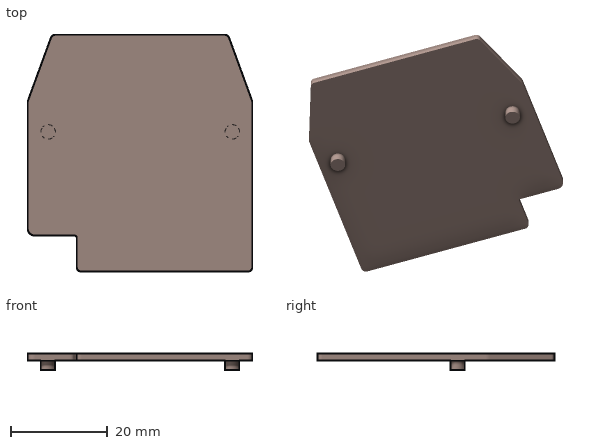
import cadquery as cq

width = 46.5
length = 49
plate_thickness = 1.5

shoulder_inset = 5.05
shoulder_length = 13.8

notch_width = 10.15
notch_length = 7.45

corner_radius = 1.0
notch_inner_radius = 0.4
side_corner_radius = 1.5
shoulder_radius = 2.0

peg_diameter = 3.0
peg_height = 1.95
peg_edge_distance = 4.2
peg_y = 4.45

right = width / 2
left = -right
back = length / 2
front = -back
shoulder_y = back - shoulder_length
notch_x = left + notch_width
notch_y = front + notch_length


def round_corners(body, corners, radius):
    """Round the vertical plate edges standing at the given XY corners."""
    for x, y in corners:
        edge = body.edges("|Z").edges(cq.NearestToPointSelector((x, y, plate_thickness / 2)))
        body = edge.fillet(radius)
    return body


def make_plate():
    outline = [
        (notch_x, front),
        (right, front),
        (right, shoulder_y),
        (right - shoulder_inset, back),
        (left + shoulder_inset, back),
        (left, shoulder_y),
        (left, notch_y),
        (notch_x, notch_y),
    ]
    plate = cq.Workplane("XY").polyline(outline).close().extrude(plate_thickness)
    end_corners = outline[0:2] + outline[3:5]
    shoulder_corners = [outline[2], outline[5]]
    plate = round_corners(plate, end_corners, corner_radius)
    plate = round_corners(plate, shoulder_corners, shoulder_radius)
    plate = round_corners(plate, [(left, notch_y)], side_corner_radius)
    return round_corners(plate, [(notch_x, notch_y)], notch_inner_radius)


def make_pegs():
    peg_x = right - peg_edge_distance
    centres = [(-peg_x, peg_y), (peg_x, peg_y)]
    return cq.Workplane("XY").pushPoints(centres).circle(peg_diameter / 2).extrude(-peg_height)


result = make_plate().union(make_pegs())